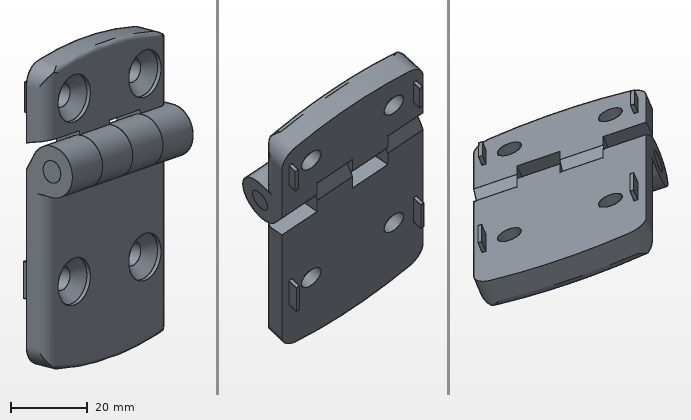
import cadquery as cq
import math

width = 48.0
total_height = 86.6
upper_height = 29.35
lower_height = total_height - upper_height
thickness = 7.9

end_arc_radius = 100.0
corner_radius = 6.0
side_round = 3.9
end_round = 1.6

knuckle_count = 4
knuckle_length = width / knuckle_count
knuckle_radius = 7.0
axis_x = 8.8
pin_radius = 3.0
flank_start = 1.2
notch_back = 6.1
notch_front = 8.1

hole_radius = 3.3
hole_spacing = 28.05
hole_straight_depth = 3.55
head_radius = 6.4
countersink_end = hole_straight_depth + head_radius - hole_radius
upper_hole_z = 17.5
lower_hole_z = 32.5

tab_width = 1.0
tab_spacing = 42.25
upper_tab_height = 8.2
upper_tab_depth = 2.6
lower_tab_height = 10.05
lower_tab_depth = 3.0


def make_plate(height):
    """Plate with an arched end, rounded corners and rounded front edges."""
    half = width / 2
    shoulder = height - end_arc_radius + math.sqrt(end_arc_radius**2 - half**2)
    arched = (
        cq.Workplane("YZ")
        .moveTo(-half, notch_back)
        .lineTo(-half, shoulder)
        .threePointArc((0, height), (half, shoulder))
        .lineTo(half, notch_back)
        .close()
        .extrude(thickness)
    )
    rounded_corners = arched.edges("|X").edges(">Z").fillet(corner_radius)
    rounded_end = arched.faces(">X").edges("%CIRCLE").fillet(end_round)
    rounded_sides = (
        cq.Workplane("XY")
        .rect(thickness, width)
        .extrude(height)
        .translate((thickness / 2, 0, 0))
        .edges("|Z and >X")
        .fillet(side_round)
    )
    return rounded_corners.intersect(rounded_end).intersect(rounded_sides)


def extrude_along_pin(profile, slot):
    """Extrude an XZ profile over one knuckle slot, counted from the -Y end."""
    slot_end = -width / 2 + (slot + 1) * knuckle_length
    return profile.extrude(knuckle_length).translate((0, slot_end, 0))


def make_knuckle(slot):
    """Barrel whose slanted flank runs tangent from the mounting face."""
    flank_distance = math.hypot(axis_x, flank_start)
    flank_angle = math.pi - math.atan2(flank_start, axis_x)
    tangent_angle = flank_angle + math.acos(knuckle_radius / flank_distance)
    tangent_point = (
        axis_x + knuckle_radius * math.cos(tangent_angle),
        knuckle_radius * math.sin(tangent_angle),
    )
    profile = (
        cq.Workplane("XZ")
        .moveTo(0, flank_start)
        .lineTo(*tangent_point)
        .threePointArc((axis_x + knuckle_radius, 0), (axis_x, knuckle_radius))
        .lineTo(0, knuckle_radius)
        .close()
    )
    return extrude_along_pin(profile, slot)


def make_notch(slot):
    """Clearance with a sloped floor for a knuckle of the other leaf."""
    profile = cq.Workplane("XZ").polyline(
        [(0, 0), (thickness, 0), (thickness, notch_front), (0, notch_back)]
    ).close()
    return extrude_along_pin(profile, slot)


def make_screw_hole(y, z):
    """Straight hole from the mounting face, opening into a countersink and a head recess."""
    profile = cq.Workplane("XY").polyline(
        [
            (0, 0),
            (0, hole_radius),
            (hole_straight_depth, hole_radius),
            (countersink_end, head_radius),
            (thickness, head_radius),
            (thickness, 0),
        ]
    ).close()
    return profile.revolve(360, (0, 0, 0), (1, 0, 0)).translate((0, y, z))


def make_pin():
    """Round pin over the full width, also used to bore the knuckles."""
    return cq.Workplane("XZ").center(axis_x, 0).circle(pin_radius).extrude(width / 2, both=True)


def make_leaf(height, hole_z, tab_height, tab_depth):
    """Leaf extending upward, with knuckles in every second slot from the +Y end."""
    leaf = make_plate(height)
    for slot in range(0, knuckle_count, 2):
        leaf = leaf.cut(make_notch(slot))
    for slot in range(1, knuckle_count, 2):
        leaf = leaf.union(make_knuckle(slot))
    for side in (-1, 1):
        tab = cq.Workplane("XY").box(tab_depth, tab_width, tab_height)
        leaf = leaf.union(tab.translate((-tab_depth / 2, side * tab_spacing / 2, hole_z)))
        leaf = leaf.cut(make_screw_hole(side * hole_spacing / 2, hole_z))
    return leaf.cut(make_pin())


upper_leaf = make_leaf(upper_height, upper_hole_z, upper_tab_height, upper_tab_depth)

lower_leaf = make_leaf(lower_height, lower_hole_z, lower_tab_height, lower_tab_depth).rotate(
    (0, 0, 0), (1, 0, 0), 180
)

pin = make_pin()

result = cq.Compound.makeCompound(
    [upper_leaf.solids().val(), lower_leaf.solids().val(), pin.solids().val()]
)